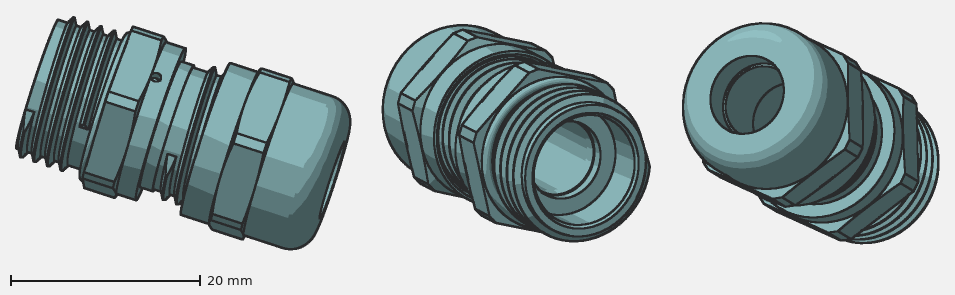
import cadquery as cq
import math


AXIS_YAW = 7.23
AXIS_PITCH = 14.5

HEX_FLATS = 17.0
HEX_CORNERS = 18.95
HEX_ROLL = 22.8

COLLAR_DIA = 16.9
FRONT_DIA = 14.32
NECK_DIA = 14.0
REAR_DIA = 13.55
BODY_HEX_START = 7.9
BODY_HEX_END = 11.57
BODY_HEX_DROP = 0.28
COLLAR_END = 13.72
NECK_END = 15.13
BODY_END = 22.5
MOUTH_DIA = 11.95
MOUTH_DEPTH = 4.8
MOUTH_CHAMFER = 0.3
SHOULDER_BORE_DIA = 8.4
VENT_DIA = 1.1
VENT_DEPTH = 1.05
VENT_STATION = 12.1
VENT_ANGLE = 116.2

PITCH = 1.5
THREAD_BASE = 1.0
THREAD_CREST = 0.15
THREAD_HEIGHT = 0.75
THREAD_ANGLE = 173.0
FRONT_THREAD_START = THREAD_BASE / 2
FRONT_THREAD_TURNS = 4
REAR_THREAD_START = 16.22
REAR_THREAD_TURNS = 4
RUN_IN_LEAN = 81.0
RUN_OUT_LEAN = -45.0

RING_SECTION_DIA = 1.13
RING_STATION = 7.8

SLEEVE_DIA = 10.5
SLEEVE_BORE_DIA = 7.9
SLEEVE_START = 6.2
SLEEVE_MOUTH_DIA = 8.2
SLEEVE_MOUTH_DEPTH = 1.2
SLEEVE_FLARE_START = 19.1
SLEEVE_FLARE_END = 21.1
SLEEVE_FLARE_DIA = 8.4

NUT_DIA = 16.9
NUT_START = 18.7
NUT_END = 32.8
NUT_BORE_DIA = 15.5
NUT_MOUTH_CHAMFER = 0.35
NUT_FLOOR = 29.55
CABLE_HOLE_DIA = 8.5
CAP_ROUND = 2.78
NUT_HEX_START = 21.88
NUT_HEX_END = 25.7
NUT_HEX_FRONT_DROP = 0.3
NUT_HEX_BACK_DROP = 0.18

SEAL_BORE_DIA = 7.9


def turned(points):
    """Solid of revolution about X from (station, diameter) points."""
    outline = [(station, diameter / 2) for station, diameter in points]
    return cq.Workplane("XY").polyline(outline).close().revolve(360, (0, 0, 0), (1, 0, 0))


def rod(start, end, diameter):
    """Plain cylinder along X."""
    return turned([(start, 0), (start, diameter), (end, diameter), (end, 0)])


def hexagon(start, end, front_drop, back_drop):
    """Hexagon with flattened corners, turned to a shallow cone at either end."""

    def prism(flats, roll):
        across_corners = flats / math.cos(math.pi / 6)
        plane = cq.Workplane("YZ", origin=(start, 0, 0))
        return plane.polygon(6, across_corners).extrude(end - start).rotate((0, 0, 0), (1, 0, 0), roll)

    rim_dia = HEX_CORNERS / math.cos(math.radians(5))
    outline = [(start, 0)]
    if front_drop:
        outline.append((start, HEX_FLATS))
    outline += [
        (start + front_drop, rim_dia),
        (end - back_drop, rim_dia),
        (end, HEX_FLATS),
        (end, 0),
    ]
    cones = turned(outline)
    return prism(HEX_FLATS, HEX_ROLL).intersect(prism(HEX_CORNERS, HEX_ROLL + 30)).intersect(cones)


def thread_end_cutter(root_radius, length, lean):
    """Wedge that slants a coil end; the lean is measured from radial towards the winding direction."""
    reach = 4 * THREAD_HEIGHT
    slope = math.radians(lean)
    tip = (root_radius + reach * math.cos(slope), reach * math.sin(slope))
    outer = (root_radius + reach, 0)
    wedge = cq.Workplane("XY").polyline([(root_radius, 0), tip, outer]).close().extrude(length)
    return wedge.translate((0, 0, -length / 2))


def thread(start, turns, root_dia):
    """Right-hand ridge coil whose base lies on the root cylinder."""
    root = root_dia / 2
    half_base = THREAD_BASE / 2
    half_crest = THREAD_CREST / 2
    crest = root + THREAD_HEIGHT
    length = turns * PITCH
    path = cq.Wire.makeHelix(PITCH, length, root)
    profile = [(root, -half_base), (crest, -half_crest), (crest, half_crest), (root, half_base)]
    coil = cq.Workplane("XZ").polyline(profile).close().sweep(cq.Workplane(path), isFrenet=True)
    coil = coil.cut(thread_end_cutter(root, PITCH, RUN_IN_LEAN))
    coil = coil.cut(thread_end_cutter(root, PITCH, RUN_OUT_LEAN).translate((0, 0, length)))
    along_x = coil.rotate((0, 0, 0), (0, 1, 0), 90)
    return along_x.rotate((0, 0, 0), (1, 0, 0), THREAD_ANGLE - 270).translate((start, 0, 0))


def make_body(o_ring):
    outside = turned([
        (0, 0),
        (0, FRONT_DIA),
        (BODY_HEX_START, FRONT_DIA),
        (BODY_HEX_START, COLLAR_DIA),
        (COLLAR_END, COLLAR_DIA),
        (COLLAR_END, NECK_DIA),
        (NECK_END, NECK_DIA),
        (NECK_END, REAR_DIA),
        (BODY_END, REAR_DIA),
        (BODY_END, 0),
    ])
    inside = turned([
        (0, 0),
        (0, MOUTH_DIA + 2 * MOUTH_CHAMFER),
        (MOUTH_CHAMFER, MOUTH_DIA),
        (MOUTH_DEPTH, MOUTH_DIA),
        (MOUTH_DEPTH, SHOULDER_BORE_DIA),
        (SLEEVE_START, SHOULDER_BORE_DIA),
        (SLEEVE_START, SLEEVE_DIA),
        (BODY_END, SLEEVE_DIA),
        (BODY_END, 0),
    ])
    vent = cq.Workplane("XZ", origin=(VENT_STATION, 0, 0)).circle(VENT_DIA / 2).extrude(-COLLAR_DIA)
    vent = vent.translate((0, COLLAR_DIA / 2 - VENT_DEPTH, 0)).rotate((0, 0, 0), (1, 0, 0), VENT_ANGLE)
    hexed = outside.union(hexagon(BODY_HEX_START, BODY_HEX_END, 0, BODY_HEX_DROP))
    return hexed.cut(inside).cut(vent).cut(o_ring)


def make_o_ring():
    section = RING_SECTION_DIA / 2
    center = (RING_STATION, FRONT_DIA / 2 + section)
    ring = cq.Workplane("XY").center(*center).circle(section)
    return ring.revolve(360, (0, -center[1], 0), (1, -center[1], 0))


def make_sleeve():
    bore = turned([
        (SLEEVE_START, 0),
        (SLEEVE_START, SLEEVE_MOUTH_DIA),
        (SLEEVE_START + SLEEVE_MOUTH_DEPTH, SLEEVE_BORE_DIA),
        (SLEEVE_FLARE_START, SLEEVE_BORE_DIA),
        (SLEEVE_FLARE_END, SLEEVE_FLARE_DIA),
        (BODY_END, SLEEVE_FLARE_DIA),
        (BODY_END, 0),
    ])
    return rod(SLEEVE_START, BODY_END, SLEEVE_DIA).cut(bore)


def make_seal():
    return rod(BODY_END, NUT_FLOOR, NUT_BORE_DIA).cut(rod(BODY_END, NUT_FLOOR, SEAL_BORE_DIA))


def make_cap_nut():
    shell = rod(NUT_START, NUT_END, NUT_DIA).faces(">X").edges().fillet(CAP_ROUND)
    bore = turned([
        (NUT_START, 0),
        (NUT_START, NUT_BORE_DIA + 2 * NUT_MOUTH_CHAMFER),
        (NUT_START + NUT_MOUTH_CHAMFER, NUT_BORE_DIA),
        (NUT_FLOOR, NUT_BORE_DIA),
        (NUT_FLOOR, CABLE_HOLE_DIA),
        (NUT_END, CABLE_HOLE_DIA),
        (NUT_END, 0),
    ])
    grip = hexagon(NUT_HEX_START, NUT_HEX_END, NUT_HEX_FRONT_DROP, NUT_HEX_BACK_DROP)
    return shell.union(grip).cut(bore)


def placed(part):
    """Tilt a part from the X axis to the gland axis."""
    yawed = part.rotate((0, 0, 0), (0, 0, 1), AXIS_YAW)
    return yawed.rotate((0, 0, 0), (0, 1, 0), AXIS_PITCH).val()


o_ring = make_o_ring()
body = make_body(o_ring)
threads = [
    thread(start, turns, root_dia)
    for start, turns, root_dia in [
        (FRONT_THREAD_START, FRONT_THREAD_TURNS, FRONT_DIA),
        (REAR_THREAD_START, REAR_THREAD_TURNS, REAR_DIA),
    ]
]
sleeve = make_sleeve()
seal = make_seal()
cap_nut = make_cap_nut()

result = cq.Compound.makeCompound([
    placed(part) for part in [body, *threads, o_ring, sleeve, seal, cap_nut]
])